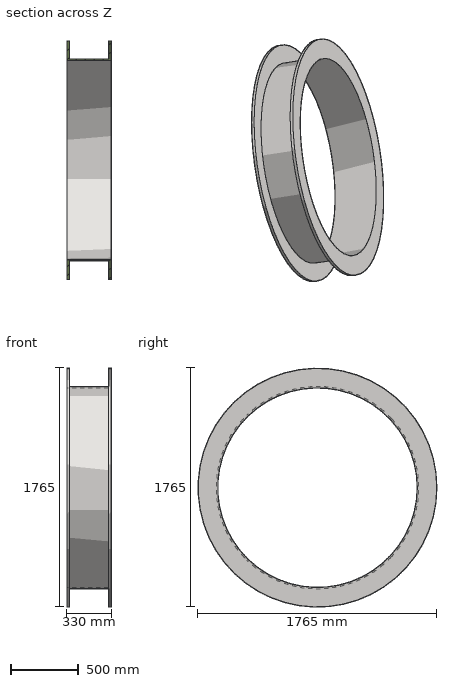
import cadquery as cq

width = 330.0
flange_diameter = 1765.0
drum_diameter = 1496.0
bore_diameter = 1472.0
flange_thickness = 21.0


def ring(outer_diameter, length, start):
    """Ring around the X axis, running from start toward +X, with the common bore."""
    return (
        cq.Workplane("YZ", origin=(start, 0, 0))
        .circle(outer_diameter / 2)
        .circle(bore_diameter / 2)
        .extrude(length)
    )


result = ring(drum_diameter, width, -width / 2)

for flange_start in (-width / 2, width / 2 - flange_thickness):
    result = result.union(ring(flange_diameter, flange_thickness, flange_start))